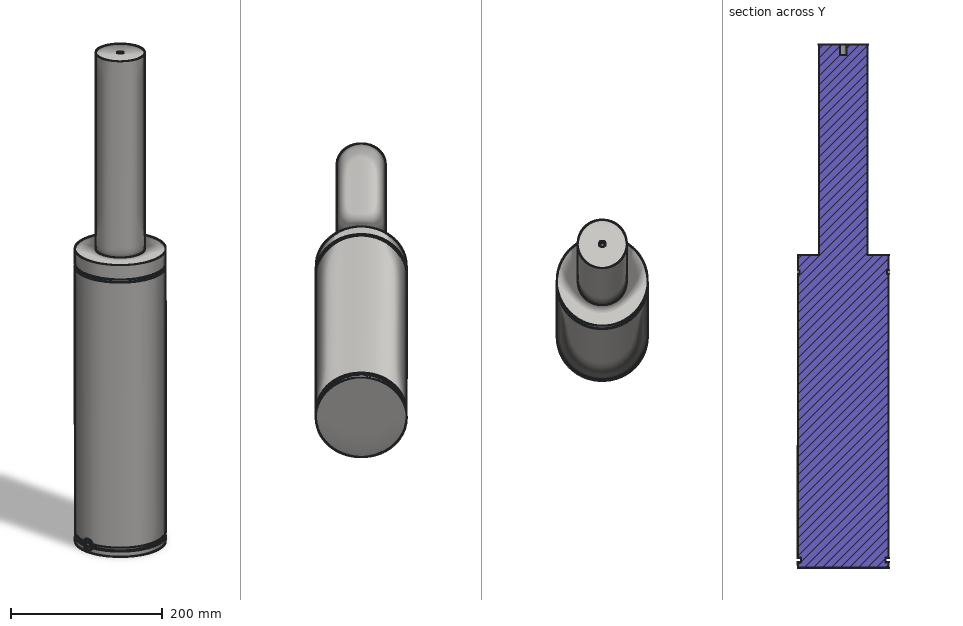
import cadquery as cq

total_height = 690.0
body_diameter = 120.0
body_height = 412.5
rod_diameter = 65.0

base_groove_bottom = 7.5
base_groove_width = 5.5
base_groove_depth = 4.0
head_height = 21.0
head_groove_width = 4.0
head_groove_depth = 2.0

plug_diameter = 16.0
plug_face_diameter = 14.0
plug_hole_diameter = 6.8
plug_hole_depth = 14.0
plug_recess = 1.0
plug_length = 14.0

rod_hole_diameter = 8.0
rod_hole_depth = 14.0

body_radius = body_diameter / 2
plug_height = base_groove_bottom + base_groove_width / 2
plug_chamfer = (plug_diameter - plug_face_diameter) / 2


def groove_ring(bottom, width, depth):
    """Ring of material to remove from the outside of the body."""
    return (
        cq.Workplane("XY", origin=(0, 0, bottom))
        .circle(body_radius)
        .circle(body_radius - depth)
        .extrude(width)
    )


def port_cylinder(diameter, face_recess, length):
    """Cylinder running inward (+Y) from a flat face near the body surface."""
    return (
        cq.Workplane("XZ", origin=(0, face_recess - body_radius, plug_height))
        .circle(diameter / 2)
        .extrude(-length)
    )


result = cq.Workplane("XY").circle(body_radius).extrude(body_height)
rod = cq.Workplane("XY").circle(rod_diameter / 2).extrude(total_height)
result = result.union(rod)

result = result.cut(groove_ring(base_groove_bottom, base_groove_width, base_groove_depth))
head_groove_bottom = body_height - head_height - head_groove_width
result = result.cut(groove_ring(head_groove_bottom, head_groove_width, head_groove_depth))

plug = port_cylinder(plug_diameter, plug_recess, plug_length).faces("<Y").chamfer(plug_chamfer)
result = result.cut(port_cylinder(plug_diameter, 0, plug_length))
result = result.union(plug)
result = result.cut(port_cylinder(plug_hole_diameter, plug_recess, plug_hole_depth))

result = result.faces(">Z").workplane().hole(rod_hole_diameter, rod_hole_depth)